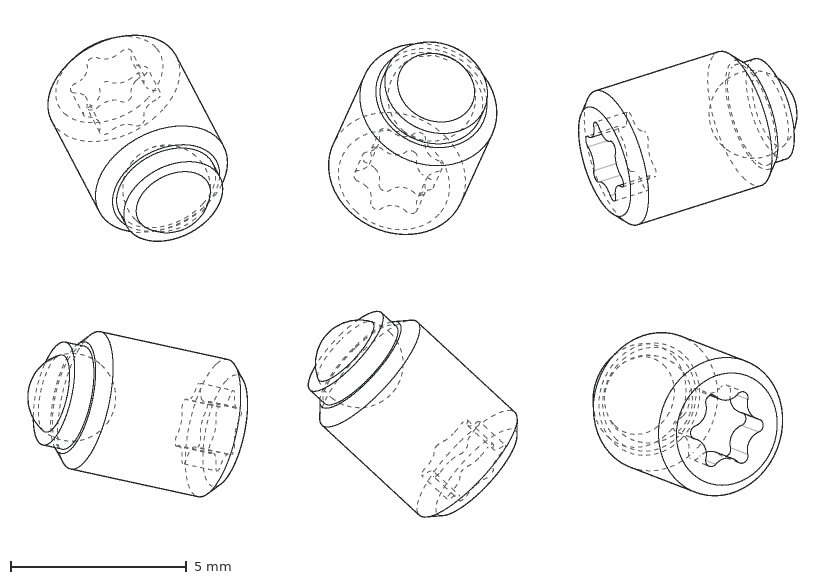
import cadquery as cq
import math


total_length = 6.0

thread_diameter = 4.0
thread_length = 4.705
end_chamfer = 0.38
nose_diameter = 3.0
nose_end = 5.3

ball_diameter = 2.5

lobe_count = 6
socket_tip_radius = 1.17
socket_root_radius = 0.84
lobe_round_radius = 0.19
socket_depth = 1.05

nose_length = nose_end - thread_length
ball_radius = ball_diameter / 2
ball_center = total_length - ball_radius
lobe_angle = 2 * math.pi / lobe_count


def polar(radius, angle):
    """Point at a radius and angle about the screw axis, in the YZ plane."""
    return (radius * math.cos(angle), radius * math.sin(angle))


def torx_socket():
    """Six round lobes joined by tangent hollow flanks, cut in from the -X end."""
    lobe_center_radius = socket_tip_radius - lobe_round_radius
    half_angle = lobe_angle / 2

    projected = lobe_center_radius * math.cos(half_angle)
    numerator = (lobe_center_radius**2 + socket_root_radius**2
                 - 2 * projected * socket_root_radius - lobe_round_radius**2)
    hollow_radius = numerator / (2 * (projected + lobe_round_radius - socket_root_radius))
    hollow_center_radius = socket_root_radius + hollow_radius

    lobe_share = lobe_round_radius / (lobe_round_radius + hollow_radius)
    hollow_y, hollow_z = polar(hollow_center_radius, half_angle)
    tangent_y = lobe_center_radius + lobe_share * (hollow_y - lobe_center_radius)
    tangent_z = lobe_share * hollow_z
    tangent_radius = math.hypot(tangent_y, tangent_z)
    tangent_angle = math.atan2(tangent_z, tangent_y)

    outline = cq.Workplane("YZ").moveTo(*polar(tangent_radius, -tangent_angle))
    for index in range(lobe_count):
        angle = index * lobe_angle
        outline = outline.threePointArc(
            polar(socket_tip_radius, angle),
            polar(tangent_radius, angle + tangent_angle),
        )
        outline = outline.threePointArc(
            polar(socket_root_radius, angle + half_angle),
            polar(tangent_radius, angle + lobe_angle - tangent_angle),
        )
    return outline.close().extrude(socket_depth)


def make_ball():
    """Full ball that stands out of the nose."""
    profile = (
        cq.Workplane("XZ")
        .moveTo(ball_center - ball_radius, 0)
        .threePointArc((ball_center, ball_radius), (total_length, 0))
        .close()
    )
    return profile.revolve(360, (0, 0, 0), (1, 0, 0))


def make_screw():
    """Chamfered cylinder with a plain nose, a Torx socket and a seat for the ball."""
    shank = (
        cq.Workplane("YZ")
        .circle(thread_diameter / 2)
        .extrude(thread_length)
        .faces("<X or >X")
        .chamfer(end_chamfer)
    )
    nose = cq.Workplane("YZ", origin=(thread_length, 0, 0)).circle(nose_diameter / 2).extrude(nose_length)
    return shank.union(nose).cut(torx_socket()).cut(make_ball())


screw = make_screw()
ball = make_ball()

result = cq.Compound.makeCompound([screw.val(), ball.val()])